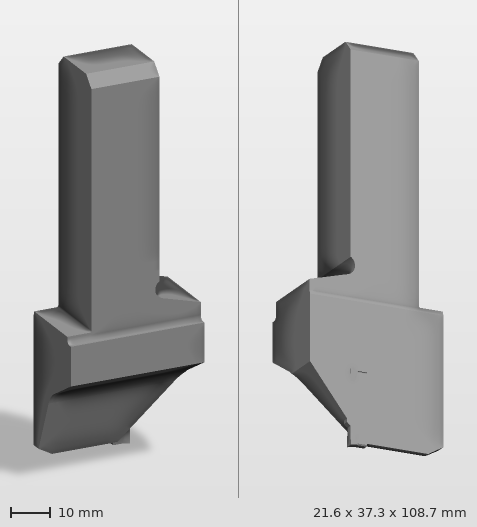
import cadquery as cq
import math


overall_height = 108.7
shank_width = 19.0
shank_start_y = 6.7
shank_end_y = shank_start_y + shank_width
shank_chamfer = 3.0

head_depth = 37.3
head_side_step = 0.3
head_far_x = 21.1
head_bottom_z = 1.0
step_bottom_z = 38.6
step_top_z = 39.6
ledge_z = 37.8
lip_fillet = 1.3
lip_bottom_z = 27.1
shelf_z = 39.8
shelf_fillet = 0.4

lip_slope = math.radians(30)
blade_angle = math.radians(22)
blade_start_x = 8.3
blade_start_z = 17.7
underside_radius = 7.6

rear_top_z = 42.6
rear_bottom_z = 20.5
rear_cut_end_y = 22.5
notch_depth = 1.2
notch_top_z = 50.3
notch_middle_z = 48.0
notch_end_y = 26.6
notch_end_z = 45.5
corner_cut_y = 4.2
corner_cut_z = 2.5

insert_length = 20.3
insert_middle_z = insert_length / 2
insert_thickness = 1.8
insert_back_y = 21.3
edge_y = 26.0
rib_y = 27.0
rib_half_length = 4.2
rib_shoulder_half_length = 5.1
body_end_relief = 0.3
end_bevel = 0.3
tip_height = 3.3
tip_overhang = 0.2
tip_back_y = 23.9
tip_foot_y = 24.8


def make_front_prism():
    """Profile in XZ swept through the full depth of the head."""
    rise = lip_bottom_z - blade_start_z - (head_far_x - blade_start_x) * math.tan(lip_slope)
    steepness = 1 / math.tan(blade_angle)
    corner_dx = rise / (steepness - math.tan(lip_slope))
    corner_x = blade_start_x + corner_dx
    corner_z = blade_start_z + corner_dx * steepness
    toe_x = blade_start_x - (blade_start_z - head_bottom_z) / steepness

    profile = (
        cq.Workplane("XZ")
        .moveTo(-head_side_step, head_bottom_z)
        .lineTo(toe_x, head_bottom_z)
        .lineTo(corner_x, corner_z)
        .lineTo(head_far_x, lip_bottom_z)
        .lineTo(head_far_x, ledge_z)
        .lineTo(shank_width, ledge_z)
        .lineTo(shank_width, overall_height - shank_chamfer)
        .lineTo(shank_width - shank_chamfer, overall_height)
        .lineTo(shank_chamfer, overall_height)
        .lineTo(0, overall_height - shank_chamfer)
        .lineTo(0, step_top_z)
        .lineTo(-head_side_step, step_bottom_z)
        .close()
        .extrude(-head_depth)
    )
    pick = 0.1
    underside_edge = cq.selectors.BoxSelector(
        (corner_x - pick, 0, corner_z - pick), (corner_x + pick, head_depth, corner_z + pick)
    )
    lip_edge = cq.selectors.BoxSelector(
        (shank_width - pick, 0, ledge_z - pick), (shank_width + pick, head_depth, ledge_z + pick)
    )
    profile = profile.edges(underside_edge).fillet(underside_radius)
    return profile.edges(lip_edge).fillet(lip_fillet)


def make_side_prism():
    """Profile in YZ: shank, shelf, relief notch and cut corners."""
    arc_inset = shelf_fillet * (1 - math.sqrt(0.5))
    return (
        cq.Workplane("YZ", origin=(-head_side_step, 0, 0))
        .moveTo(corner_cut_y, head_bottom_z)
        .lineTo(rear_cut_end_y, head_bottom_z)
        .lineTo(head_depth, rear_bottom_z)
        .lineTo(head_depth, rear_top_z)
        .lineTo(notch_end_y, notch_end_z)
        .threePointArc((shank_end_y - notch_depth, notch_middle_z), (shank_end_y, notch_top_z))
        .lineTo(shank_end_y, overall_height)
        .lineTo(shank_start_y, overall_height)
        .lineTo(shank_start_y, shelf_z + shelf_fillet)
        .threePointArc(
            (shank_start_y - arc_inset, shelf_z + arc_inset),
            (shank_start_y - shelf_fillet, shelf_z),
        )
        .lineTo(0, shelf_z)
        .lineTo(0, head_bottom_z + corner_cut_z)
        .close()
        .extrude(head_far_x + head_side_step)
    )


def make_insert_tip():
    """Lower cutting tip, widest at the cutting edge and narrowing to the back and upward."""
    outer_x = -head_side_step - tip_overhang
    inner_x = outer_x + insert_thickness + 2 * tip_overhang
    back_outer_x = outer_x + tip_overhang
    back_inner_x = inner_x - tip_overhang
    wedge = (
        cq.Workplane("XY")
        .polyline([
            (outer_x, edge_y),
            (inner_x, edge_y),
            (back_inner_x, tip_back_y),
            (back_outer_x, tip_back_y),
        ])
        .close()
        .workplane(offset=tip_height)
        .polyline([
            (back_outer_x, edge_y),
            (back_inner_x, edge_y),
            (back_inner_x, tip_back_y),
            (back_outer_x, tip_back_y),
        ])
        .close()
        .loft(ruled=True)
    )
    side_outline = (
        cq.Workplane("YZ", origin=(outer_x, 0, 0))
        .polyline([
            (edge_y, 0),
            (tip_back_y, body_end_relief),
            (tip_foot_y, tip_height),
            (edge_y, tip_height),
        ])
        .close()
        .extrude(inner_x - outer_x)
    )
    return wedge.intersect(side_outline)


def make_insert(bevel):
    """Bar with a raised middle and a cutting tip at each end; a zero bevel leaves the ends sharp."""
    body_bottom_z = body_end_relief
    body_top_z = insert_length - body_end_relief
    bar = (
        cq.Workplane("YZ", origin=(-head_side_step, 0, 0))
        .polyline([
            (insert_back_y, body_bottom_z),
            (edge_y, body_bottom_z),
            (edge_y, insert_middle_z - rib_shoulder_half_length),
            (rib_y, insert_middle_z - rib_half_length),
            (rib_y, insert_middle_z + rib_half_length),
            (edge_y, insert_middle_z + rib_shoulder_half_length),
            (edge_y, body_top_z),
            (insert_back_y, body_top_z),
        ])
        .close()
        .extrude(insert_thickness)
    )
    if bevel > 0:
        bar = bar.faces(">Z or <Z").edges("<X").chamfer(bevel)
    lower_tip = make_insert_tip()
    upper_tip = lower_tip.mirror("XY", (0, 0, insert_middle_z))
    return bar.union(lower_tip).union(upper_tip)


cutting_insert = make_insert(end_bevel)
insert_seat = make_insert(0)
holder = make_front_prism().intersect(make_side_prism()).cut(insert_seat)

result = cq.Compound.makeCompound([holder.solids().val(), cutting_insert.solids().val()])